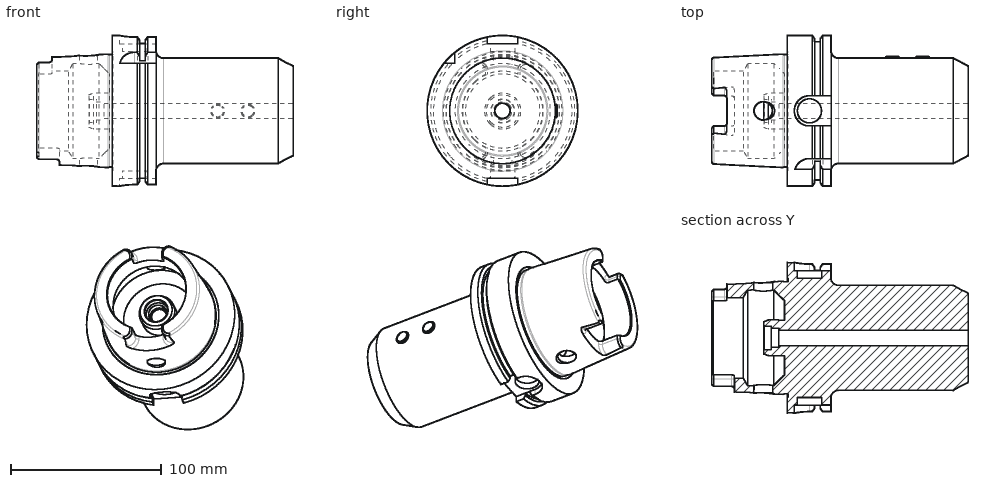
import cadquery as cq
import math

TOTAL_LENGTH = 170.0
FLANGE_DIA = 100.0

SHANK_LENGTH = 50.0
SHANK_END_DIA = 70.5
SHANK_ROOT_DIA = 75.3
TAPER_LENGTH = 47.1
SHANK_END_FILLET = 1.5
RELIEF_START = 48.1
RELIEF_DIA = 74.8
UNDERCUT_DIA = 78.5
UNDERCUT_DEPTH = 0.5

FLANGE_END = 79.0
GROOVE_START = 66.6
GROOVE_WIDTH = 6.8
GROOVE_DIA = 91.8
GROOVE_CHAMFER_LENGTH = 1.5
GROOVE_CHAMFER_DEPTH = 2.2

BODY_DIA = 70.0
BODY_FILLET = 5.0
NOSE_CONE_LENGTH = 10.0
NOSE_DIA = 59.5
NOSE_FILLET = 0.8

BORE_DIA = 53.0
BORE_MOUTH_DIA = 53.7
BORE_MOUTH_LENGTH = 1.0
CLAMP_GROOVE_DIA = 63.0
CLAMP_GROOVE_START = 20.9
CLAMP_GROOVE_ANGLE = 60.0
FLOOR_DIA = 49.3
FLOOR_POSITION = 48.1
BOSS_DIA = 24.0
BOSS_START = 34.3
BOSS_TIP_DIA = 21.6
BOSS_TIP_LENGTH = 3.0

COOLANT_DIA = 10.0
COUNTERBORES = [(16.0, 0.3), (15.3, 5.1), (12.0, 10.2)]

KEYWAY_WIDTH = 20.0
KEYWAY_FLARE_START = 27.2
KEYWAY_FLARE_RADIUS = 5.0
KEYWAY_FLOOR_FILLET = 1.9
KEYWAY_MOUTH_CHAMFER = 1.4
TOP_KEYWAY_DEPTH = 10.0
BOTTOM_KEYWAY_DEPTH = 15.0

ACCESS_DIA = 12.0
ACCESS_POSITION = 34.2
ACCESS_SINK_START = 36.5
ACCESS_SINK_DEPTH = 1.7
ACCESS_SINK_ANGLE = 60.0

SLOT_WIDTH = 20.0
SLOT_CENTRE = 64.8
SLOT_FLOOR = 44.5
SLOT_HOLE_DIA = 16.0
SLOT_HOLE_DEPTH = 5.0
NOTCH_CORNER = 31.6

SCREW_DIA = 9.0
SCREW_POSITIONS = [119.7, 139.7]
SCREW_TOP = 36.2
SCREW_CHAMFER = 0.7


def revolve_about_x(outline):
    return outline.close().revolve(360, (0, 0, 0), (1, 0, 0))


def x_cylinder(diameter, start, length):
    return cq.Workplane("YZ", origin=(start, 0, 0)).circle(diameter / 2).extrude(length)


def make_outside():
    flange_r = FLANGE_DIA / 2
    body_r = BODY_DIA / 2
    undercut_floor = SHANK_LENGTH + UNDERCUT_DEPTH
    groove_end = GROOVE_START + GROOVE_WIDTH
    chamfer_r = flange_r - GROOVE_CHAMFER_DEPTH
    sag = BODY_FILLET * (1 - math.sqrt(0.5))
    outline = (
        cq.Workplane("XY")
        .lineTo(0, SHANK_END_DIA / 2)
        .lineTo(TAPER_LENGTH, SHANK_ROOT_DIA / 2)
        .lineTo(RELIEF_START, RELIEF_DIA / 2)
        .lineTo(undercut_floor, RELIEF_DIA / 2)
        .lineTo(undercut_floor, UNDERCUT_DIA / 2)
        .lineTo(SHANK_LENGTH, UNDERCUT_DIA / 2)
        .lineTo(SHANK_LENGTH, flange_r)
        .lineTo(GROOVE_START, flange_r)
        .lineTo(GROOVE_START + GROOVE_CHAMFER_LENGTH, chamfer_r)
        .lineTo(GROOVE_START + GROOVE_CHAMFER_LENGTH, GROOVE_DIA / 2)
        .lineTo(groove_end - GROOVE_CHAMFER_LENGTH, GROOVE_DIA / 2)
        .lineTo(groove_end - GROOVE_CHAMFER_LENGTH, chamfer_r)
        .lineTo(groove_end, flange_r)
        .lineTo(FLANGE_END, flange_r)
        .lineTo(FLANGE_END, body_r + BODY_FILLET)
        .threePointArc((FLANGE_END + sag, body_r + sag), (FLANGE_END + BODY_FILLET, body_r))
        .lineTo(TOTAL_LENGTH - NOSE_CONE_LENGTH, body_r)
        .lineTo(TOTAL_LENGTH, NOSE_DIA / 2)
        .lineTo(TOTAL_LENGTH, 0)
    )
    outside = revolve_about_x(outline)
    outside = outside.faces("<X").edges().fillet(SHANK_END_FILLET)
    return outside.faces(">X").edges().fillet(NOSE_FILLET)


def make_cavity():
    bore_r = BORE_DIA / 2
    groove_r = CLAMP_GROOVE_DIA / 2
    floor_r = FLOOR_DIA / 2
    groove_ramp = (groove_r - bore_r) / math.tan(math.radians(CLAMP_GROOVE_ANGLE))
    outline = (
        cq.Workplane("XY")
        .lineTo(0, BORE_MOUTH_DIA / 2)
        .lineTo(BORE_MOUTH_LENGTH, bore_r)
        .lineTo(CLAMP_GROOVE_START, bore_r)
        .lineTo(CLAMP_GROOVE_START + groove_ramp, groove_r)
        .lineTo(FLOOR_POSITION - (groove_r - floor_r), groove_r)
        .lineTo(FLOOR_POSITION, floor_r)
        .lineTo(FLOOR_POSITION, BOSS_DIA / 2)
        .lineTo(BOSS_START + BOSS_TIP_LENGTH, BOSS_DIA / 2)
        .lineTo(BOSS_START, BOSS_TIP_DIA / 2)
        .lineTo(BOSS_START, 0)
    )
    return revolve_about_x(outline)


def make_axial_hole():
    hole = x_cylinder(COOLANT_DIA, 0, TOTAL_LENGTH)
    for diameter, depth in COUNTERBORES:
        hole = hole.union(x_cylinder(diameter, BOSS_START, depth))
    return hole


def keyway_section(growth):
    """Section across +Z, its walls flaring outwards in quarter circles; growth widens it."""
    half = KEYWAY_WIDTH / 2 + growth
    radius = KEYWAY_FLARE_RADIUS - growth
    far = FLANGE_DIA / 2
    flare_top = KEYWAY_FLARE_START + radius
    dy = radius * (1 - math.sqrt(0.5))
    dz = radius * math.sqrt(0.5)
    return (
        cq.Workplane("YZ")
        .moveTo(-half, 0)
        .lineTo(half, 0)
        .lineTo(half, KEYWAY_FLARE_START)
        .threePointArc((half + dy, KEYWAY_FLARE_START + dz), (half + radius, flare_top))
        .lineTo(far, flare_top)
        .lineTo(far, far)
        .lineTo(-far, far)
        .lineTo(-far, flare_top)
        .lineTo(-half - radius, flare_top)
        .threePointArc((-half - dy, KEYWAY_FLARE_START + dz), (-half, KEYWAY_FLARE_START))
        .close()
    )


def make_keyway(depth):
    keyway = keyway_section(0).extrude(depth).faces(">X").edges().fillet(KEYWAY_FLOOR_FILLET)
    mouth = keyway_section(KEYWAY_MOUTH_CHAMFER).extrude(KEYWAY_MOUTH_CHAMFER, taper=45)
    return keyway.union(mouth)


def make_access_hole():
    """Hole from the boss side outwards; its sink only cuts deep where the taper is highest."""
    hole = cq.Workplane("XY", origin=(ACCESS_POSITION, 0, BOSS_DIA / 2)).circle(ACCESS_DIA / 2)
    hole = hole.extrude(FLANGE_DIA / 2 - BOSS_DIA / 2)
    sink = cq.Workplane("XY", origin=(ACCESS_POSITION, 0, ACCESS_SINK_START)).circle(ACCESS_DIA / 2)
    sink = sink.extrude(ACCESS_SINK_DEPTH, taper=-ACCESS_SINK_ANGLE)
    return hole.union(sink)


def round_ended_slot(centre_y, floor_z):
    """Slot open towards +X, with a half-round end, cut down to floor_z."""
    radius = SLOT_WIDTH / 2
    outline = (
        cq.Workplane("XY", origin=(SLOT_CENTRE, centre_y, floor_z))
        .moveTo(0, -radius)
        .lineTo(FLANGE_END - SLOT_CENTRE, -radius)
        .lineTo(FLANGE_END - SLOT_CENTRE, radius)
        .lineTo(0, radius)
        .threePointArc((-radius, 0), (0, -radius))
        .close()
    )
    return outline.extrude(FLANGE_DIA / 2)


def flange_slot():
    slot = round_ended_slot(0, SLOT_FLOOR)
    pocket = cq.Workplane("XY", origin=(SLOT_CENTRE, 0, SLOT_FLOOR - SLOT_HOLE_DEPTH))
    return slot.union(pocket.circle(SLOT_HOLE_DIA / 2).extrude(SLOT_HOLE_DEPTH))


def set_screw(position):
    screw = cq.Workplane("XZ", origin=(position, SCREW_TOP, 0)).circle(SCREW_DIA / 2)
    screw = screw.extrude(SCREW_DIA)
    return screw.faces(">Y").chamfer(SCREW_CHAMFER)


def to_underside(shape):
    return shape.rotate((0, 0, 0), (1, 0, 0), 180)


result = make_outside().cut(make_cavity()).cut(make_axial_hole())
result = result.cut(make_keyway(TOP_KEYWAY_DEPTH)).cut(to_underside(make_keyway(BOTTOM_KEYWAY_DEPTH)))
for cutter in (make_access_hole(), flange_slot()):
    result = result.cut(cutter).cut(to_underside(cutter))
result = result.cut(round_ended_slot(-NOTCH_CORNER - SLOT_WIDTH / 2, NOTCH_CORNER))
for position in SCREW_POSITIONS:
    result = result.union(set_screw(position))